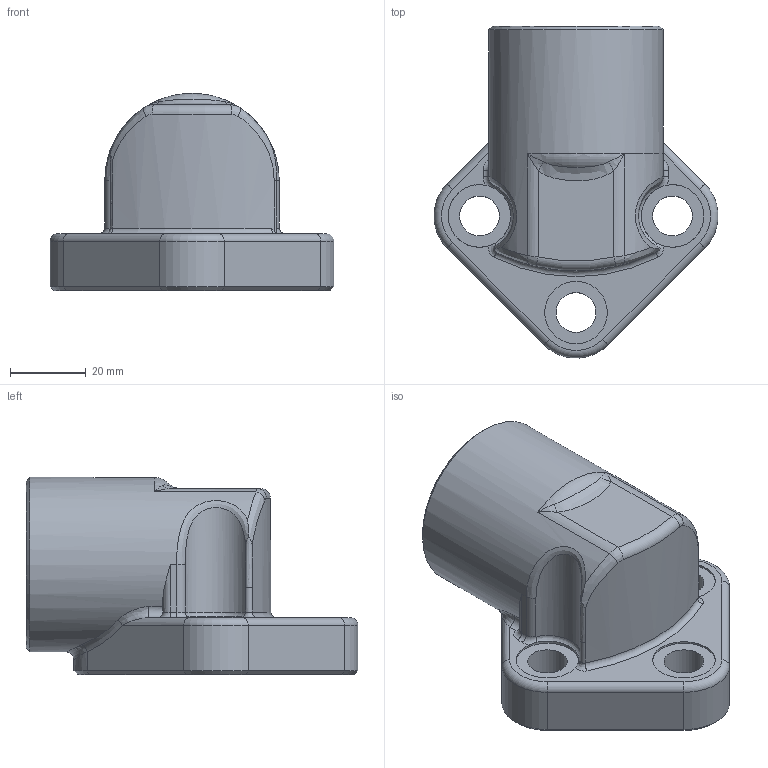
import cadquery as cq
import math

flange_side = 60.0
flange_corner_radius = 12.0
flange_height = 15.0
flange_top_round = 2.0
flange_bottom_chamfer = 1.0

hole_spacing = flange_side - 2 * flange_corner_radius
hole_reach = hole_spacing / math.sqrt(2)
hole_centres = [(-hole_reach, 0), (hole_reach, 0), (0, -hole_reach)]
side_hole_centres = hole_centres[:2]
hole_diameter = 10.5
spotface_diameter = 16.5
spotface_depth = 0.5
spotface_clearance = 2.0

barrel_radius = 23.0
axis_height = 29.0
barrel_end_y = 50.0
barrel_end_chamfer = 1.0
neck_rear_y = 14.0
neck_rear_round = 2.0

front_y = -14.5
front_wall_radius = 47.0
front_top_round = 2.5

scallop_radius = 9.0
scallop_round = 2.5
scallop_front_round = 1.0

pad_height = 49.0
pad_side_round = 5.0
nose_start_y = 16.3
nose_round = 5.0

neck_root_round = 1.5
barrel_root_round = 2.0
neck_stub_height = 8.0
root_disc_radius = 28.0

barrel_top = axis_height + barrel_radius
pad_rise = pad_height - axis_height
blank_front_y = front_y - 5.5
front_wall_centre_y = front_y + front_wall_radius
pick_tolerance = 0.05


def pick_edges(part, wanted):
    """Select the edges whose midpoint satisfies a test."""
    edges = [edge for edge in part.edges().vals() if wanted(edge.positionAt(0.5))]
    return part.newObject(edges)


def near(value, target):
    return abs(value - target) < pick_tolerance


def on_front_wall(point):
    return near(math.hypot(point.x, point.y - front_wall_centre_y), front_wall_radius)


def on_scallop(point):
    return near(math.hypot(abs(point.x) - hole_reach, point.y), scallop_radius)


def on_barrel(point):
    return near(math.hypot(point.x, point.z - axis_height), barrel_radius)


def cylinders(centres, diameter, bottom, height):
    return cq.Workplane("XY", origin=(0, 0, bottom)).pushPoints(centres).circle(diameter / 2).extrude(height)


def make_flange():
    plate = cq.Workplane("XY").rect(flange_side, flange_side).extrude(flange_height)
    plate = plate.edges("|Z").fillet(flange_corner_radius)
    plate = plate.rotate((0, 0, 0), (0, 0, 1), 45)
    plate = plate.faces("<Z").edges().chamfer(flange_bottom_chamfer)
    return plate.faces(">Z").edges().fillet(flange_top_round)


def make_padded_crown():
    """Front stretch of the barrel, flattened on top, with rounds between the flat and the barrel."""
    round_centre_z = pad_rise - pad_side_round
    round_centre_reach = barrel_radius - pad_side_round
    pad_half_width = math.sqrt(round_centre_reach**2 - round_centre_z**2)
    end_angle = math.atan2(round_centre_z, pad_half_width)
    middle_angle = (end_angle + math.pi / 2) / 2
    round_end = (barrel_radius * math.cos(end_angle), barrel_radius * math.sin(end_angle))
    round_middle = (
        pad_half_width + pad_side_round * math.cos(middle_angle),
        round_centre_z + pad_side_round * math.sin(middle_angle),
    )
    return (
        cq.Workplane("XZ", origin=(0, nose_start_y, axis_height))
        .moveTo(-pad_half_width, pad_rise)
        .lineTo(pad_half_width, pad_rise)
        .threePointArc(round_middle, round_end)
        .threePointArc((0, -barrel_radius), (-round_end[0], round_end[1]))
        .threePointArc((-round_middle[0], round_middle[1]), (-pad_half_width, pad_rise))
        .close()
        .extrude(nose_start_y - blank_front_y)
    )


def make_barrel():
    """Revolved barrel with a rounded rim at the pad and a chamfered rim at the open end."""
    rim_radius = barrel_radius - nose_round
    half_turn = nose_round * math.sqrt(0.5)
    end_radius = barrel_radius - barrel_end_chamfer
    return (
        cq.Workplane("XY")
        .moveTo(0, nose_start_y - nose_round)
        .lineTo(rim_radius, nose_start_y - nose_round)
        .threePointArc((rim_radius + half_turn, nose_start_y - half_turn), (barrel_radius, nose_start_y))
        .lineTo(barrel_radius, barrel_end_y - barrel_end_chamfer)
        .lineTo(end_radius, barrel_end_y)
        .lineTo(0, barrel_end_y)
        .close()
        .revolve(360, (0, 0, 0), (0, 1, 0))
        .translate((0, 0, axis_height))
    )


def make_front_wall(height):
    """Upright cylinder whose near side is the bulged front wall."""
    return cylinders([(0, front_wall_centre_y)], 2 * front_wall_radius, 0, height)


def make_scallops(bottom):
    return cylinders(side_hole_centres, 2 * scallop_radius, bottom, barrel_top)


def make_neck_block(height):
    """Straight-sided block with rounded rear corners, left long at the front."""
    depth = neck_rear_y - blank_front_y
    block = cq.Workplane("XY", origin=(0, blank_front_y, 0)).box(
        2 * barrel_radius, depth, height, centered=(True, False, False)
    )
    return block.edges("|Z and >Y").fillet(neck_rear_round)


def make_scalloped_column(height):
    """Neck outline carried straight up, with rounded front corners beside the scallops."""
    column = make_neck_block(height).intersect(make_front_wall(height)).cut(make_scallops(0))
    front_corners = pick_edges(
        column, lambda point: near(point.z, height / 2) and on_front_wall(point) and on_scallop(point)
    )
    return front_corners.fillet(scallop_front_round)


def make_flange_with_barrel_root():
    """Flange with the underside of the barrel, rounded where the two meet."""
    root_front_y = neck_rear_y - neck_rear_round
    root_barrel = (
        cq.Workplane("XZ", origin=(0, root_front_y, axis_height))
        .moveTo(-barrel_radius, 0)
        .threePointArc((0, -barrel_radius), (barrel_radius, 0))
        .close()
        .extrude(root_front_y - barrel_end_y + barrel_end_chamfer)
    )
    part = make_flange().union(root_barrel)
    flange_tip = hole_reach + flange_corner_radius
    seam = pick_edges(
        part,
        lambda point: point.y < flange_tip + pick_tolerance
        and point.y > neck_rear_y
        and point.z < flange_height + pick_tolerance
        and on_barrel(point),
    )
    return seam.fillet(barrel_root_round)


def make_neck_root():
    """Short stub of the neck on a disc buried in the flange, rounded where the two meet."""
    stub_height = flange_height + neck_stub_height
    stub = make_scalloped_column(stub_height)
    side_corners = pick_edges(
        stub, lambda point: point.y > 0 and near(point.z, stub_height / 2) and on_scallop(point)
    )
    disc = cylinders([(0, 0)], 2 * root_disc_radius, 1, flange_height - 1)
    part = side_corners.fillet(scallop_round).union(disc)
    root = pick_edges(
        part,
        lambda point: near(point.z, flange_height) and math.hypot(point.x, point.y) < root_disc_radius - 1,
    )
    return root.fillet(neck_root_round)


def make_socket():
    crown = make_padded_crown().union(make_barrel())
    nose_foot = pick_edges(crown, lambda point: near(point.z, pad_height) and near(point.x, 0) and point.y > 0)
    blank = nose_foot.fillet(nose_round).union(make_neck_block(axis_height))

    fronted = blank.intersect(make_front_wall(barrel_top))
    front_top = pick_edges(fronted, lambda point: point.z > axis_height and on_front_wall(point))
    fronted = front_top.fillet(front_top_round)

    scalloped = blank.cut(make_scallops(flange_height))
    scallop_rims = pick_edges(scalloped, lambda point: point.z > flange_height + 0.1 and on_scallop(point))
    scalloped = scallop_rims.fillet(scallop_round)

    behind_neck = cq.Workplane("XY", origin=(0, 5, 0)).box(
        3 * barrel_radius, barrel_end_y, barrel_top, centered=(True, False, False)
    )
    corner_trim = make_scalloped_column(barrel_top).union(behind_neck)
    return fronted.intersect(corner_trim).intersect(scalloped)


def drill_screw_holes(part):
    spotface_bottom = flange_height - spotface_depth
    holes = cylinders(hole_centres, hole_diameter, 0, flange_height)
    spotfaces = cylinders(hole_centres, spotface_diameter, spotface_bottom, spotface_depth + spotface_clearance)
    return part.cut(holes).cut(spotfaces)


result = make_flange_with_barrel_root().union(make_neck_root()).union(make_socket())
result = drill_screw_holes(result)